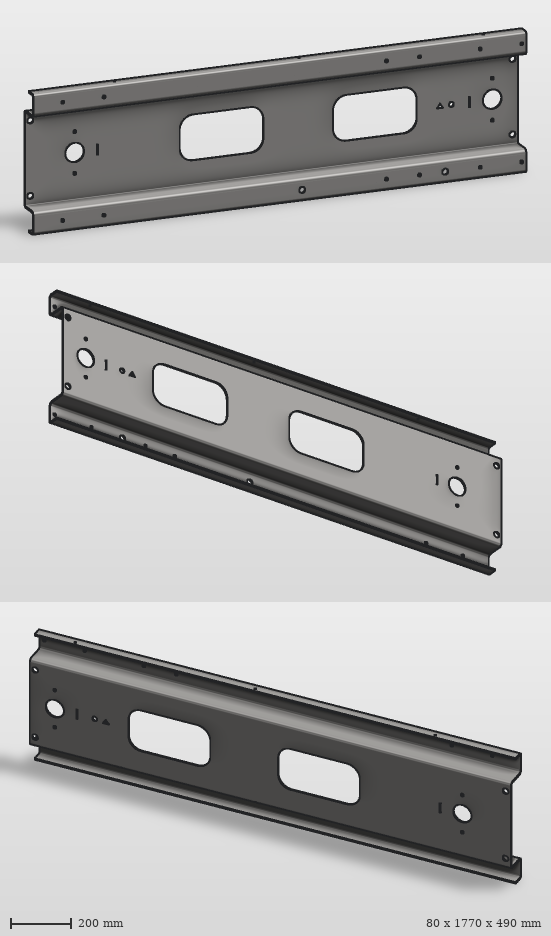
import cadquery as cq

length = 1770.0
depth = 80.0
height = 490.0
thickness = 6.0
bend_radius = 6.0
root_bend_radius = 10.0
lip_width = 42.0
web_height = 338.0

web_face_x = -depth / 2
flange_back_x = depth / 2
lip_edge_x = flange_back_x - lip_width

flange_z = 205.0
flange_hole_diameter = 10.0
flange_hole_ys = [867.0, 719.0, 501.0, 382.0, -632.0, -780.0]
drain_diameter = 21.0
drain_ys = [593.0, 80.0]

lip_hole_diameter = 6.0
lip_hole_x = 10.0
lip_hole_spacing = 662.0
lip_hole_middle_y = 80.0

corner_hole_diameter = 21.0
corner_hole_y = 865.0
corner_hole_z = 131.0
port_diameter = 67.0
port_ys = [793.0, -706.0]
port_screw_diameter = 10.0
port_screw_z = 73.0
slit_width = 4.5
slit_height = 35.0
slit_ys = [712.0, -625.0]
locating_hole_diameter = 18.0
locating_hole_y = 646.0
triangle_base = 21.0
triangle_height = 16.0
triangle_y = 605.0
window_length = 301.0
window_height = 160.0
window_radius = 48.0
window_ys = [372.0, -179.0]


def hat_section():
    """Folded sheet: web, two steps, two flanges and two inward lips, without its holes."""
    lip_z = height / 2
    step_z = web_height / 2
    web_outer = (web_face_x, step_z)
    web_inner = (web_face_x + thickness, step_z - thickness)
    root_outer = (flange_back_x, step_z - thickness)
    root_inner = (flange_back_x - thickness, step_z)
    lip_outer = (flange_back_x, lip_z)
    lip_inner = (flange_back_x - thickness, lip_z - thickness)
    lip_edge_inner = (lip_edge_x, lip_z - thickness)
    lip_edge_outer = (lip_edge_x, lip_z)

    front_run = [web_outer, root_inner, lip_inner, lip_edge_inner]
    back_run = [lip_edge_outer, lip_outer, root_outer, web_inner]
    upper = front_run + back_run
    lower = [(x, -z) for x, z in reversed(upper)]
    body = cq.Workplane("XZ").polyline(upper + lower).close().extrude(length / 2, both=True)

    body = round_bend(body, web_inner, bend_radius)
    body = round_bend(body, web_outer, bend_radius + thickness)
    body = round_bend(body, root_inner, root_bend_radius)
    body = round_bend(body, root_outer, root_bend_radius + thickness)
    body = round_bend(body, lip_inner, bend_radius)
    return round_bend(body, lip_outer, bend_radius + thickness)


def round_bend(body, corner, radius):
    """Fillet the long edges at an (X, Z) corner and at its mirror image below."""
    x, z = corner
    reach = thickness / 4
    for corner_z in (z, -z):
        box = cq.selectors.BoxSelector(
            (x - reach, -length, corner_z - reach),
            (x + reach, length, corner_z + reach),
        )
        body = body.edges("|Y").edges(box).fillet(radius)
    return body


def punch_x(sketch):
    """Cutter running through the full depth along X."""
    return sketch.extrude(depth, both=True)


def round_punch(points, diameter):
    """Round cutters along X at the given (Y, Z) points."""
    return punch_x(cq.Workplane("YZ").pushPoints(points).circle(diameter / 2))


result = hat_section()

for side in (1, -1):
    flange_points = [(y, side * flange_z) for y in flange_hole_ys]
    result = result.cut(round_punch(flange_points, flange_hole_diameter))
result = result.cut(round_punch([(y, -flange_z) for y in drain_ys], drain_diameter))

lip_points = [(lip_hole_x, lip_hole_middle_y + i * lip_hole_spacing) for i in (-1, 0, 1)]
lip_punch = (
    cq.Workplane("XY", origin=(0, 0, height / 2))
    .pushPoints(lip_points)
    .circle(lip_hole_diameter / 2)
    .extrude(2 * thickness, both=True)
)
result = result.cut(lip_punch)

corner_points = [(i * corner_hole_y, j * corner_hole_z) for i in (-1, 1) for j in (-1, 1)]
result = result.cut(round_punch(corner_points, corner_hole_diameter))
result = result.cut(round_punch([(y, 0) for y in port_ys], port_diameter))
port_screws = [(y, side * port_screw_z) for y in port_ys for side in (-1, 1)]
result = result.cut(round_punch(port_screws, port_screw_diameter))
result = result.cut(round_punch([(locating_hole_y, 0)], locating_hole_diameter))
triangle = (
    cq.Workplane("YZ", origin=(0, triangle_y, 0))
    .polyline([
        (-triangle_base / 2, -triangle_height / 2),
        (triangle_base / 2, -triangle_height / 2),
        (0, triangle_height / 2),
    ])
    .close()
)
result = result.cut(punch_x(triangle))
slit_points = [(y, 0) for y in slit_ys]
slits = cq.Workplane("YZ").pushPoints(slit_points).rect(slit_width, slit_height)
result = result.cut(punch_x(slits))
window_points = [(y, 0) for y in window_ys]
windows = cq.Workplane("YZ").pushPoints(window_points).rect(window_length, window_height)
result = result.cut(punch_x(windows).edges("|X").fillet(window_radius))